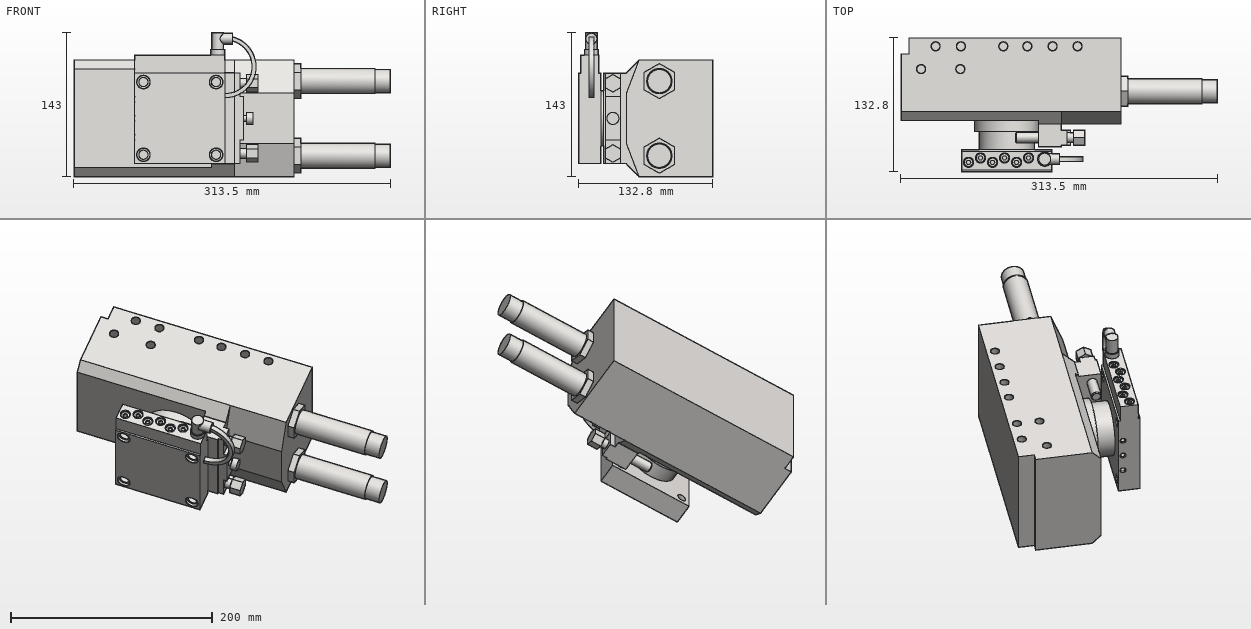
import cadquery as cq
import math


housing_height = 116.0
half_height = housing_height / 2
housing_left = -104.7
housing_length = 218.2
housing_right = housing_left + housing_length
housing_depth = 82.0
rail_depth = 16.0
rail_setback = 7.5
chamfer = 9.0
front_step = 3.5
step_left = 31.5
end_facet_left = 54.2
end_facet_height = 33.0

mount_hole_diameter = 8.5
mount_rim_diameter = 9.0
mount_hole_depth = 12.5
rail_hole_y = 73.7
rail_hole_offsets = [34.2, 59.3, 101.3, 125.0, 150.2, 175.0]
main_hole_y = 51.0
main_hole_offsets = [19.8, 58.5]

collar_diameter = 64.3
collar_length = 11.0

block_front = -26.0
block_height = 89.7
stop_y = -17.0
stop_z = 34.8
end_plate_width = 15.0
end_plate_thickness = 5.5
raised_plate_height = 43.3
raised_plate_thickness = 3.5
stop_pin_diameter = 10.5
screw_shank_diameter = 10.0
stop_pin_left = 8.8
stop_pin_chamfer = 1.0
screw_head_left = 66.0
screw_head_length = 11.3
screw_head_flats = 15.0
centre_neck_diameter = 6.0
centre_knob_diameter = 12.0
centre_knob_length = 6.3

absorber_y = 29.0
absorber_z = 37.0
absorber_nut_flats = 30.0
absorber_nut_length = 6.5
absorber_diameter = 25.0
absorber_body_length = 73.7
absorber_cap_diameter = 23.2
absorber_length = 313.5 - housing_length

shaft_diameter = 55.2
table_size = 89.7
table_half = table_size / 2
table_back = -28.8
table_thickness = 22.0
table_front = table_back - table_thickness
bolt_offset = 36.0
bolt_hole_diameter = 9.0
bolt_head_diameter = 13.0
bolt_rim_diameter = 13.5
bolt_head_depth = 2.8
port_diameter = 4.0
port_rim_diameter = 6.0
port_y = -33.5
port_spacing = 18.8
port_depth = 6.3

strip_height = 18.0
strip_inset = 2.0
strip_top = table_half + strip_height
terminal_count = 6
terminal_end_margin = 7.0
terminal_first_x = -table_half + terminal_end_margin
terminal_spacing = 12.0
terminal_mid_y = -39.2
terminal_stagger = 2.2
terminal_diameter = 8.5
terminal_rim_diameter = 10.0
terminal_recess_depth = 1.5
socket_flats = 4.0
socket_depth = 3.8

plug_x = 37.5
plug_y = -38.2
plug_diameter = 12.0
plug_top = 85.0
plug_collar_diameter = 14.0
plug_collar_height = 5.5
plug_arm_z = 79.0
plug_arm_diameter = 11.0
plug_arm_right = 52.5
cable_width = 5.0
cable_thickness = 4.0
cable_radius = 28.5
cable_centre_offset = 0.3
cable_centre_x = table_half + cable_centre_offset
cable_overlap = 1.0
cable_start_x = plug_arm_right - cable_overlap


def box(x_min, x_max, y_min, y_max, z_min, z_max):
    size = (x_max - x_min, y_max - y_min, z_max - z_min)
    return cq.Workplane("XY").box(*size, centered=False).translate((x_min, y_min, z_min))


def cylinder_along_x(x_min, length, y, z, diameter):
    return cq.Workplane("YZ", origin=(x_min, y, z)).circle(diameter / 2).extrude(length)


def cylinder_along_y(y_min, length, x, z, diameter):
    return cq.Workplane("XZ", origin=(x, y_min + length, z)).circle(diameter / 2).extrude(length)


def cylinder_along_z(z_min, length, x, y, diameter):
    return cq.Workplane("XY", origin=(x, y, z_min)).circle(diameter / 2).extrude(length)


def hexagon_along_x(x_min, length, y, z, across_flats):
    """Hexagonal prism with one corner pointing up."""
    corner_diameter = across_flats / math.cos(math.pi / 6)
    plane = cq.Plane(origin=(x_min, y, z), xDir=(0, 0, 1), normal=(1, 0, 0))
    return cq.Workplane(plane).polygon(6, corner_diameter).extrude(length)


def chamfered_hole(plane, depth, diameter, rim_diameter):
    """Cutter for a blind hole with a 45 degree chamfer at its rim; the plane's normal points out."""
    bore = cq.Workplane(plane).circle(diameter / 2).extrude(-depth)
    chamfer_depth = (rim_diameter - diameter) / 2
    cone = cq.Solid.makeCone(rim_diameter / 2, diameter / 2, chamfer_depth, plane.origin, -plane.zDir)
    return bore.union(cq.Workplane(obj=cone))


def housing_section(x_min, x_max, front, slope_depth, slope_height):
    """Block whose upper and lower front edges are sloped off."""
    outline = [
        (housing_depth, -half_height),
        (front + slope_depth, -half_height),
        (front, slope_height - half_height),
        (front, half_height - slope_height),
        (front + slope_depth, half_height),
        (housing_depth, half_height),
    ]
    return cq.Workplane("YZ", origin=(x_min, 0, 0)).polyline(outline).close().extrude(x_max - x_min)


def housing_block():
    stepped_chamfer = chamfer + front_step
    block = housing_section(housing_left, step_left, 0, chamfer, chamfer)
    block = block.union(
        housing_section(step_left, end_facet_left, -front_step, stepped_chamfer, stepped_chamfer)
    )
    block = block.union(
        housing_section(end_facet_left, housing_right, -front_step, stepped_chamfer, end_facet_height)
    )
    rail_relief = box(
        housing_left, housing_left + rail_setback,
        housing_depth - rail_depth, housing_depth,
        -half_height, half_height,
    )
    return block.cut(rail_relief)


def cut_mounting_holes(body):
    places = [(housing_left + offset, rail_hole_y) for offset in rail_hole_offsets]
    places += [(housing_left + offset, main_hole_y) for offset in main_hole_offsets]
    for x, y in places:
        plane = cq.Plane(origin=(x, y, half_height), xDir=(1, 0, 0), normal=(0, 0, 1))
        body = body.cut(chamfered_hole(plane, mount_hole_depth, mount_hole_diameter, mount_rim_diameter))
    return body


def stop_block():
    plate_back = stop_y + end_plate_width / 2
    plate_front = stop_y - end_plate_width / 2
    plate_right = end_facet_left + end_plate_thickness
    raised_right = plate_right + raised_plate_thickness
    half_block = block_height / 2
    half_raised = raised_plate_height / 2
    block = box(step_left, end_facet_left, block_front, 0, -half_block, half_block)
    plate = box(end_facet_left, plate_right, plate_front, plate_back, -half_block, half_block)
    raised = box(plate_right, raised_right, plate_front, plate_back, -half_raised, half_raised)
    block = block.union(plate).union(raised)
    for z in (-stop_z, stop_z):
        pin_length = end_facet_left - stop_pin_left
        pin = cylinder_along_x(stop_pin_left, pin_length, stop_y, z, stop_pin_diameter)
        pin = pin.faces("<X").chamfer(stop_pin_chamfer)
        shank_length = screw_head_left - end_facet_left
        shank = cylinder_along_x(end_facet_left, shank_length, stop_y, z, screw_shank_diameter)
        head = hexagon_along_x(screw_head_left, screw_head_length, stop_y, z, screw_head_flats)
        block = block.union(pin).union(shank).union(head)
    neck = cylinder_along_x(plate_right, screw_head_left - plate_right, stop_y, 0, centre_neck_diameter)
    knob = cylinder_along_x(screw_head_left, centre_knob_length, stop_y, 0, centre_knob_diameter)
    return block.union(neck).union(knob)


def shock_absorber(z):
    nut = hexagon_along_x(housing_right, absorber_nut_length, absorber_y, z, absorber_nut_flats)
    body_length = absorber_nut_length + absorber_body_length
    body = cylinder_along_x(housing_right, body_length, absorber_y, z, absorber_diameter)
    cap = cylinder_along_x(housing_right, absorber_length, absorber_y, z, absorber_cap_diameter)
    return nut.union(body).union(cap)


def make_housing():
    body = cut_mounting_holes(housing_block())
    body = body.union(cylinder_along_y(-collar_length, collar_length, 0, 0, collar_diameter))
    body = body.union(stop_block())
    for z in (-absorber_z, absorber_z):
        body = body.union(shock_absorber(z))
    return body


def table_plate():
    plate = box(-table_half, table_half, table_front, table_back, -table_half, table_half)
    for x in (-bolt_offset, bolt_offset):
        for z in (-bolt_offset, bolt_offset):
            plate = plate.cut(cylinder_along_y(table_front, table_thickness, x, z, bolt_hole_diameter))
            plane = cq.Plane(origin=(x, table_front, z), xDir=(1, 0, 0), normal=(0, -1, 0))
            plate = plate.cut(chamfered_hole(plane, bolt_head_depth, bolt_head_diameter, bolt_rim_diameter))
    for z in (-port_spacing, 0, port_spacing):
        plane = cq.Plane(origin=(-table_half, port_y, z), xDir=(0, 1, 0), normal=(-1, 0, 0))
        plate = plate.cut(chamfered_hole(plane, port_depth, port_diameter, port_rim_diameter))
    return plate


def connection_strip():
    strip = box(
        -table_half, table_half,
        table_front + strip_inset, table_back - strip_inset,
        table_half, strip_top,
    )
    for index in range(terminal_count):
        x = terminal_first_x + index * terminal_spacing
        side = 1 if index % 2 else -1
        y = terminal_mid_y + side * terminal_stagger
        plane = cq.Plane(origin=(x, y, strip_top), xDir=(1, 0, 0), normal=(0, 0, 1))
        recess = chamfered_hole(plane, terminal_recess_depth, terminal_diameter, terminal_rim_diameter)
        socket_corners = socket_flats / math.cos(math.pi / 6)
        socket = cq.Workplane(plane).polygon(6, socket_corners).extrude(-socket_depth)
        strip = strip.cut(recess).cut(socket)
    return strip


def plug():
    collar = cylinder_along_z(strip_top, plug_collar_height, plug_x, plug_y, plug_collar_diameter)
    upright = cylinder_along_z(strip_top, plug_top - strip_top, plug_x, plug_y, plug_diameter)
    arm = cylinder_along_x(plug_x, plug_arm_right - plug_x, plug_y, plug_arm_z, plug_arm_diameter)
    return collar.union(upright).union(arm)


def cable():
    """Flat cable bent in one arc from the plug back to the table's right side."""
    start_angle = math.acos((cable_start_x - cable_centre_x) / cable_radius)
    end_angle = -math.acos((table_half - cable_centre_x) / cable_radius)
    centre_z = plug_arm_z - cable_radius * math.sin(start_angle)

    def arc_point(angle):
        x = cable_centre_x + cable_radius * math.cos(angle)
        return (x, plug_y, centre_z + cable_radius * math.sin(angle))

    path = cq.Edge.makeThreePointArc(arc_point(start_angle), arc_point(0), arc_point(end_angle))
    path_wire = cq.Workplane(obj=cq.Wire.assembleEdges([path]))
    section = cq.Plane(
        origin=arc_point(start_angle),
        xDir=(0, 1, 0),
        normal=(math.sin(start_angle), 0, -math.cos(start_angle)),
    )
    return cq.Workplane(section).rect(cable_width, cable_thickness).sweep(path_wire)


def make_swivel_table():
    shaft_length = -collar_length - table_back
    body = table_plate().union(cylinder_along_y(table_back, shaft_length, 0, 0, shaft_diameter))
    return body.union(connection_strip()).union(plug()).union(cable())


housing = make_housing()
swivel_table = make_swivel_table()
result = cq.Compound.makeCompound([housing.solids().val(), swivel_table.solids().val()])